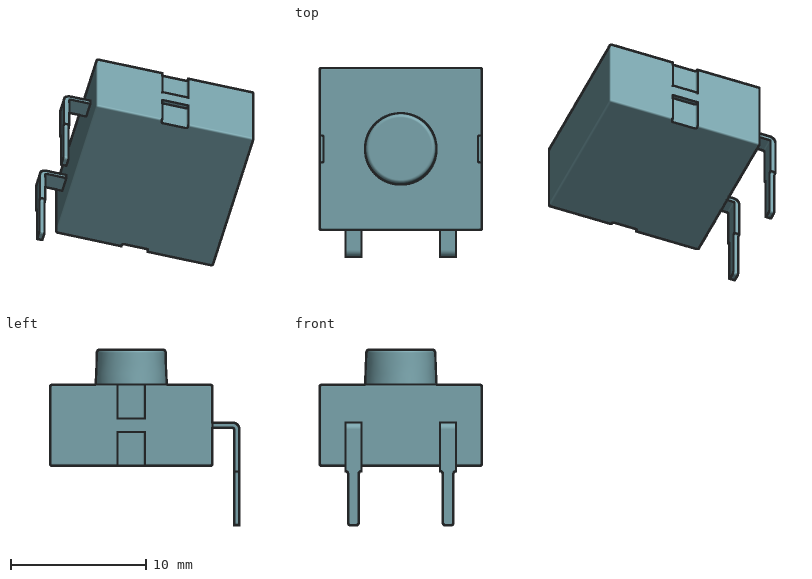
import cadquery as cq

housing_width = 12.0
housing_height = 6.0
housing_edge_radius = 0.15

button_base_diameter = 5.3
button_height = 2.6
button_top_diameter = 5.1
button_edge_radius = 0.25

groove_width = 2.0
groove_depth = 0.3
groove_length = 2.5
groove_corner_radius = 0.15

terminal_spacing = 7.0
terminal_thickness = 0.4
terminal_reach = 2.0
terminal_bend_radius = 0.5
terminal_depth_below_housing = 4.4
terminal_embedding = 0.5

shoulder_width = 1.2
shoulder_z = -0.4
pin_width = 0.8
pin_tip_radius = 0.2

half_width = housing_width / 2


def make_housing():
    block = cq.Workplane("XY").box(
        housing_width, housing_width, housing_height, centered=(True, True, False)
    )
    return block.edges().fillet(housing_edge_radius)


def make_button():
    base_radius = button_base_diameter / 2
    top_radius = button_top_diameter / 2
    button_profile = (
        cq.Workplane("XZ")
        .moveTo(0, housing_height)
        .lineTo(base_radius, housing_height)
        .lineTo(top_radius, housing_height + button_height)
        .lineTo(0, housing_height + button_height)
        .close()
    )
    button = button_profile.revolve(360, (0, 0, 0), (0, 1, 0))
    return button.faces(">Z").edges().fillet(button_edge_radius)


def make_groove_cutter(side, bottom_z):
    """Cutter for one groove; side is -1 or +1 for the -X or +X wall."""
    cutter = cq.Workplane("XY").box(
        2 * groove_depth, groove_width, groove_length, centered=(True, True, False)
    )
    cutter = cutter.edges("|Z").fillet(groove_corner_radius)
    return cutter.translate((side * half_width, 0, bottom_z))


def make_terminal_bend():
    """L-shaped strip, as wide as the shoulder and centred on X = 0."""
    outer_y = -half_width - terminal_reach
    inner_y = outer_y + terminal_thickness
    root_y = -half_width + terminal_embedding
    top_z = (housing_height + terminal_thickness) / 2
    underside_z = top_z - terminal_thickness
    tip_z = -terminal_depth_below_housing
    strip = (
        cq.Workplane("YZ")
        .polyline([
            (root_y, top_z),
            (outer_y, top_z),
            (outer_y, tip_z),
            (inner_y, tip_z),
            (inner_y, underside_z),
            (root_y, underside_z),
        ])
        .close()
        .extrude(shoulder_width / 2, both=True)
    )
    outer_corner = cq.selectors.NearestToPointSelector((0, outer_y, top_z))
    inner_corner = cq.selectors.NearestToPointSelector((0, inner_y, underside_z))
    strip = strip.edges("|X").edges(outer_corner).fillet(terminal_bend_radius)
    inner_bend_radius = terminal_bend_radius - terminal_thickness
    return strip.edges("|X").edges(inner_corner).fillet(inner_bend_radius)


def make_terminal_face():
    """Width profile of a terminal in X and Z, extruded through the whole bent strip."""
    top_z = housing_height
    tip_z = -terminal_depth_below_housing
    half_shoulder = shoulder_width / 2
    half_pin = pin_width / 2
    cove_radius = half_shoulder - half_pin
    cove_end_z = shoulder_z - cove_radius
    right_half = (
        cq.Workplane("XZ")
        .moveTo(0, top_z)
        .lineTo(half_shoulder, top_z)
        .lineTo(half_shoulder, shoulder_z)
        .radiusArc((half_pin, cove_end_z), -cove_radius)
        .lineTo(half_pin, tip_z + pin_tip_radius)
        .radiusArc((half_pin - pin_tip_radius, tip_z), pin_tip_radius)
        .lineTo(0, tip_z)
    )
    return right_half.mirrorY().extrude(half_width + terminal_reach)


def make_terminal(x):
    return make_terminal_bend().intersect(make_terminal_face()).translate((x, 0, 0))


def make_switch():
    switch = make_housing()
    for side in (-1, 1):
        for bottom_z in (0, housing_height - groove_length):
            switch = switch.cut(make_groove_cutter(side, bottom_z))
    switch = switch.union(make_button())
    for side in (-1, 1):
        switch = switch.union(make_terminal(side * terminal_spacing / 2))
    return switch


result = make_switch()